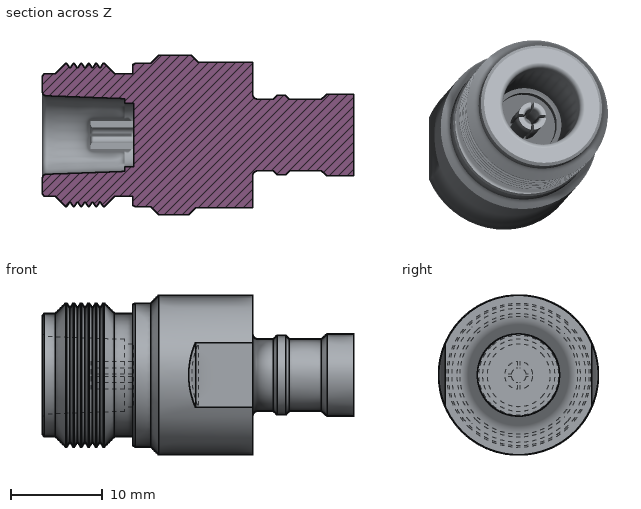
import cadquery as cq
import math

total_length = 34.08

barrel_radius = 6.75
rim_chamfer_length = 0.25
rim_chamfer_depth = 0.3
thread_start = 1.45
thread_crest_radius = 7.87
thread_root_radius = 7.33
thread_pitch = 0.82
thread_crest_width = 0.1
thread_crest_count = 6
thread_lead = thread_crest_radius - barrel_radius
first_crest = thread_start + thread_lead

flange_start = 9.9
flange_radius = thread_crest_radius
flange_chamfer_length = 0.3
flange_chamfer_depth = 0.17
body_start = 11.9
body_radius = 17.5 / 2
body_chamfer = body_radius - flange_radius
body_end = 23.05

flats_width = 16.0
front_flat_start = 16.77
back_flat_start = 17.07
flat_cut_margin = 0.35

stem_radius = 3.95
stem_root_fillet = 0.5
ring_start = 25.3
ring_end = 27.03
ring_radius = 4.35
ring_chamfer = ring_radius - stem_radius
head_radius = 4.5
head_start = 31.15
head_chamfer_length = 0.6

bore_mouth_radius = 4.25
bore_mouth_fillet = 0.5
bore_bottom_radius = 3.95
bore_depth = 9.0
recess_radius = 3.45
recess_depth = 10.0

contact_tip = 5.3
contact_radius = 1.55
contact_hole_radius = 0.82
contact_hole_fillet = 0.3
contact_slot_width = 0.3


def trace_thread(profile):
    """Add the ridges and V grooves, from the first crest to the last."""
    half_crest = thread_crest_width / 2
    for index in range(thread_crest_count):
        crest = first_crest + half_crest + index * thread_pitch
        if index > 0:
            profile = profile.lineTo(crest - thread_pitch / 2, thread_root_radius)
        profile = profile.lineTo(crest - half_crest, thread_crest_radius)
        profile = profile.lineTo(crest + half_crest, thread_crest_radius)
    return profile


def revolve_about_x(profile):
    return profile.close().revolve(360, (0, 0, 0), (1, 0, 0))


def make_outside():
    last_crest_end = first_crest + (thread_crest_count - 1) * thread_pitch + thread_crest_width
    fillet_middle = stem_root_fillet * (1 - math.sqrt(0.5))

    profile = cq.Workplane("XY").lineTo(0, barrel_radius - rim_chamfer_depth)
    profile = profile.lineTo(rim_chamfer_length, barrel_radius).lineTo(thread_start, barrel_radius)
    profile = trace_thread(profile)
    profile = (
        profile.lineTo(last_crest_end + thread_lead, barrel_radius)
        .lineTo(flange_start, barrel_radius)
        .lineTo(flange_start, flange_radius - flange_chamfer_depth)
        .lineTo(flange_start + flange_chamfer_length, flange_radius)
        .lineTo(body_start, flange_radius)
        .lineTo(body_start + body_chamfer, body_radius)
        .lineTo(body_end, body_radius)
        .lineTo(body_end, stem_radius + stem_root_fillet)
        .threePointArc(
            (body_end + fillet_middle, stem_radius + fillet_middle),
            (body_end + stem_root_fillet, stem_radius),
        )
        .lineTo(ring_start, stem_radius)
        .lineTo(ring_start + ring_chamfer, ring_radius)
        .lineTo(ring_end - ring_chamfer, ring_radius)
        .lineTo(ring_end, stem_radius)
        .lineTo(head_start - head_chamfer_length, stem_radius)
        .lineTo(head_start, head_radius)
        .lineTo(total_length, head_radius)
        .lineTo(total_length, 0)
    )
    return revolve_about_x(profile)


def make_flat_cutter(side, flat_start):
    """Region outside one flat, with a 45 degree run-out; side is -1 or +1 along Y."""
    flat_y = flats_width / 2
    cut_height = body_radius - flat_y + flat_cut_margin
    return (
        cq.Workplane("XY")
        .moveTo(flat_start, side * flat_y)
        .lineTo(body_end, side * flat_y)
        .lineTo(body_end, side * (flat_y + cut_height))
        .lineTo(flat_start - cut_height, side * (flat_y + cut_height))
        .close()
        .extrude(body_radius, both=True)
    )


def make_bore():
    mouth_radius = bore_mouth_radius + bore_mouth_fillet
    fillet_middle = bore_mouth_fillet * (1 - math.sqrt(0.5))
    profile = (
        cq.Workplane("XY")
        .lineTo(0, mouth_radius)
        .threePointArc(
            (fillet_middle, bore_mouth_radius + fillet_middle),
            (bore_mouth_fillet, bore_mouth_radius),
        )
        .lineTo(bore_depth, bore_bottom_radius)
        .lineTo(bore_depth, recess_radius)
        .lineTo(recess_depth, recess_radius)
        .lineTo(recess_depth, 0)
    )
    return revolve_about_x(profile)


def make_contact():
    length = recess_depth - contact_tip
    contact = (
        cq.Workplane("YZ", origin=(contact_tip, 0, 0))
        .circle(contact_radius)
        .circle(contact_hole_radius)
        .extrude(length)
        .faces("<X")
        .edges(cq.selectors.RadiusNthSelector(0))
        .fillet(contact_hole_fillet)
    )
    slots = (
        cq.Workplane("YZ", origin=(contact_tip, 0, 0))
        .rect(contact_slot_width, 2 * contact_radius)
        .extrude(length)
    )
    return contact.cut(slots).cut(slots.rotate((0, 0, 0), (1, 0, 0), 90))


result = (
    make_outside()
    .cut(make_flat_cutter(-1, front_flat_start))
    .cut(make_flat_cutter(1, back_flat_start))
    .cut(make_bore())
    .union(make_contact())
)